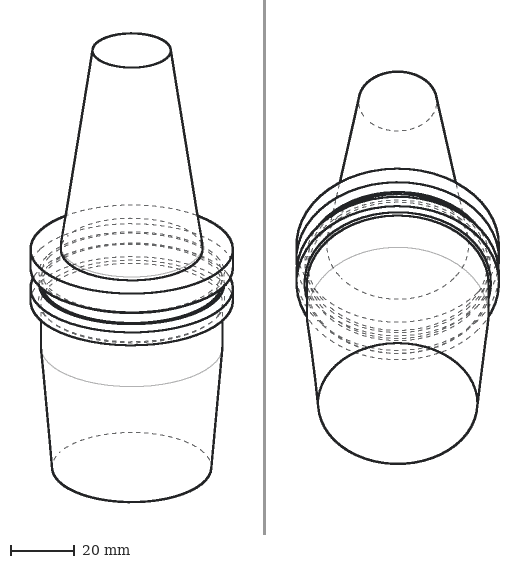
import cadquery as cq
import math

total_length = 145.2

taper_length = 68.1
gauge_diameter = 44.5
taper_ratio = 7 / 24
tip_diameter = gauge_diameter - taper_length * taper_ratio
collar_length = 1.2

flange_diameter = 63.5
gauge_to_flange_bottom = 19.2
gauge_to_groove_center = 11.2
groove_ledge_diameter = 58.1
groove_floor_diameter = 56.4
groove_width = 7.0
groove_flank_angle = 30.0

nose_diameter = 57.0
nose_end_diameter = 50.0
nose_cone_length = 42.0
flare_height = 0.7
flare_diameter = nose_diameter + 2 * flare_height

gauge_z = total_length - taper_length
flange_top_z = gauge_z - collar_length
flange_bottom_z = gauge_z - gauge_to_flange_bottom
groove_center_z = gauge_z - gauge_to_groove_center

flank_height = (
    (flange_diameter - groove_ledge_diameter) / 2 * math.tan(math.radians(groove_flank_angle))
)
groove_half_width = groove_width / 2
floor_half_width = groove_half_width - flank_height


def revolved_body(profile):
    """Revolve (diameter, z) points, listed from bottom to top, about the Z axis."""
    outline = [(diameter / 2, z) for diameter, z in profile]
    bottom_center = (0, profile[0][1])
    top_center = (0, profile[-1][1])
    return (
        cq.Workplane("XZ")
        .polyline([bottom_center] + outline + [top_center])
        .close()
        .revolve(360, (0, 0, 0), (0, 1, 0))
    )


nose_profile = [
    (nose_end_diameter, 0),
    (nose_diameter, nose_cone_length),
    (nose_diameter, flange_bottom_z - flare_height),
    (flare_diameter, flange_bottom_z),
]

flange_profile = [
    (flange_diameter, flange_bottom_z),
    (flange_diameter, groove_center_z - groove_half_width),
    (groove_ledge_diameter, groove_center_z - floor_half_width),
    (groove_floor_diameter, groove_center_z - floor_half_width),
    (groove_floor_diameter, groove_center_z + floor_half_width),
    (groove_ledge_diameter, groove_center_z + floor_half_width),
    (flange_diameter, groove_center_z + groove_half_width),
    (flange_diameter, flange_top_z),
]

shank_profile = [
    (gauge_diameter, flange_top_z),
    (gauge_diameter, gauge_z),
    (tip_diameter, total_length),
]

result = revolved_body(nose_profile + flange_profile + shank_profile)